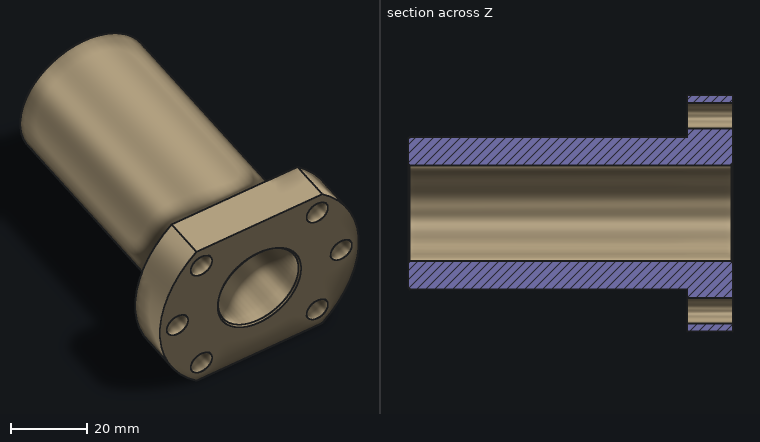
import cadquery as cq
import math

total_length = 85.0
body_diameter = 40.0
bore_diameter = 25.0
edge_chamfer = 0.5

flange_diameter = 62.0
flange_thickness = 12.0
flange_height = 48.0

pitch_diameter = 51.0
mount_hole_diameter = 6.6
mount_hole_angles = (0, 45, 135, 180, 225, 315)

flange_start = total_length - flange_thickness


def make_body():
    """Round sleeve with a chamfered free end."""
    sleeve = cq.Workplane("YZ").circle(body_diameter / 2).extrude(total_length)
    return sleeve.faces("<X").chamfer(edge_chamfer)


def make_flange():
    """Disc with flats on its top and bottom."""
    plane = cq.Workplane("YZ", origin=(flange_start, 0, 0))
    disc = plane.circle(flange_diameter / 2).extrude(flange_thickness)
    slab = plane.rect(flange_diameter, flange_height).extrude(flange_thickness)
    return disc.intersect(slab)


def make_mount_holes():
    """Cylinders that cut the holes through the flange."""
    pitch_radius = pitch_diameter / 2
    centres = []
    for angle in mount_hole_angles:
        turn = math.radians(angle)
        centres.append((pitch_radius * math.cos(turn), pitch_radius * math.sin(turn)))
    plane = cq.Workplane("YZ", origin=(flange_start, 0, 0))
    return plane.pushPoints(centres).circle(mount_hole_diameter / 2).extrude(flange_thickness)


def make_bore():
    """Through bore, widened by a chamfer at each end."""
    bore_radius = bore_diameter / 2
    mouth_radius = bore_radius + edge_chamfer
    half_section = [
        (0, 0),
        (0, mouth_radius),
        (edge_chamfer, bore_radius),
        (total_length - edge_chamfer, bore_radius),
        (total_length, mouth_radius),
        (total_length, 0),
    ]
    return cq.Workplane("XY").polyline(half_section).close().revolve(360, (0, 0, 0), (1, 0, 0))


result = make_body().union(make_flange()).cut(make_mount_holes()).cut(make_bore())